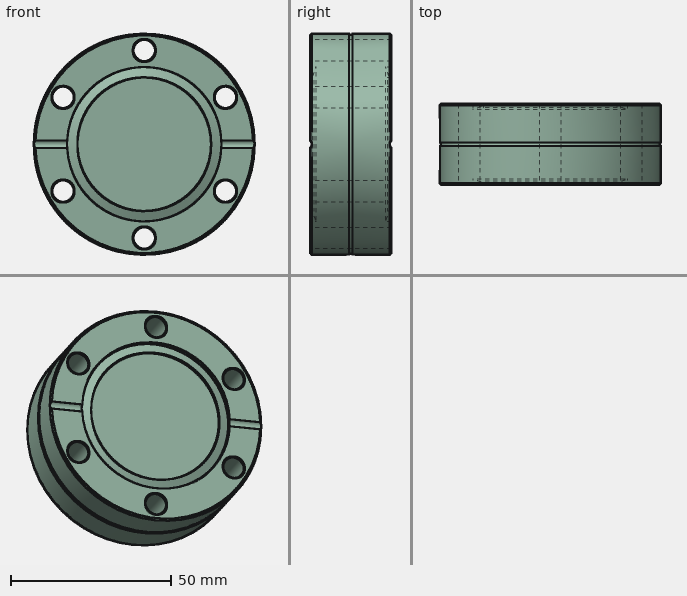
import cadquery as cq

outer_diameter = 69.1
thickness = 25.4
rim_chamfer = 0.55

recess_diameter = 48.2
recess_depth = 1.9
knife_diameter = 41.95
knife_depth = 0.7
disc_diameter = 41.7
disc_depth = 1.25

rim_groove_width = 1.1
rim_groove_depth = 0.35

bolt_count = 6
bolt_circle_diameter = 58.6
bolt_hole_diameter = 6.7
bolt_hole_chamfer = 0.3

leak_groove_width = 2.35
leak_groove_depth = 0.55

outer_radius = outer_diameter / 2
half_thickness = thickness / 2


def flange_body():
    """Revolve the half section (radius, position along Y) around the Y axis."""
    recess_radius = recess_diameter / 2
    knife_radius = knife_diameter / 2
    disc_radius = disc_diameter / 2
    face_edge_radius = outer_radius - rim_chamfer
    rim_edge = half_thickness - rim_chamfer
    section = (
        cq.Workplane("XY")
        .moveTo(0, disc_depth - half_thickness)
        .lineTo(disc_radius, disc_depth - half_thickness)
        .lineTo(knife_radius, knife_depth - half_thickness)
        .lineTo(recess_radius, recess_depth - half_thickness)
        .lineTo(recess_radius, -half_thickness)
        .lineTo(face_edge_radius, -half_thickness)
        .lineTo(outer_radius, -rim_edge)
        .lineTo(outer_radius, -rim_groove_width / 2)
        .threePointArc(
            (outer_radius - rim_groove_depth, 0),
            (outer_radius, rim_groove_width / 2),
        )
        .lineTo(outer_radius, rim_edge)
        .lineTo(face_edge_radius, half_thickness)
        .lineTo(recess_radius, half_thickness)
        .lineTo(recess_radius, half_thickness - recess_depth)
        .lineTo(knife_radius, half_thickness - knife_depth)
        .lineTo(disc_radius, half_thickness - disc_depth)
        .lineTo(0, half_thickness - disc_depth)
        .close()
    )
    return section.revolve(360, (0, 0, 0), (0, 1, 0))


def bolt_hole_cutters():
    """Through holes that flare at both ends, the first one straight above the axis."""
    hole_radius = bolt_hole_diameter / 2
    mouth_radius = hole_radius + bolt_hole_chamfer
    straight_end = half_thickness - bolt_hole_chamfer
    hole = (
        cq.Workplane("XY")
        .polyline([
            (0, -half_thickness),
            (mouth_radius, -half_thickness),
            (hole_radius, -straight_end),
            (hole_radius, straight_end),
            (mouth_radius, half_thickness),
            (0, half_thickness),
        ])
        .close()
        .revolve(360, (0, 0, 0), (0, 1, 0))
        .translate((0, 0, bolt_circle_diameter / 2))
    )
    cutters = cq.Workplane("XY")
    for index in range(bolt_count):
        cutters = cutters.add(hole.rotate((0, 0, 0), (0, 1, 0), index * 360 / bolt_count))
    return cutters.combine()


def leak_groove_cutter(side):
    """Cylinder along X that sinks into the face at Y = side * half_thickness."""
    groove_radius = ((leak_groove_width / 2) ** 2 + leak_groove_depth ** 2) / (2 * leak_groove_depth)
    axis_position = side * (half_thickness - leak_groove_depth + groove_radius)
    return (
        cq.Workplane("YZ")
        .center(axis_position, 0)
        .circle(groove_radius)
        .extrude(outer_radius, both=True)
    )


result = flange_body().cut(bolt_hole_cutters())
for side in (-1, 1):
    result = result.cut(leak_groove_cutter(side))